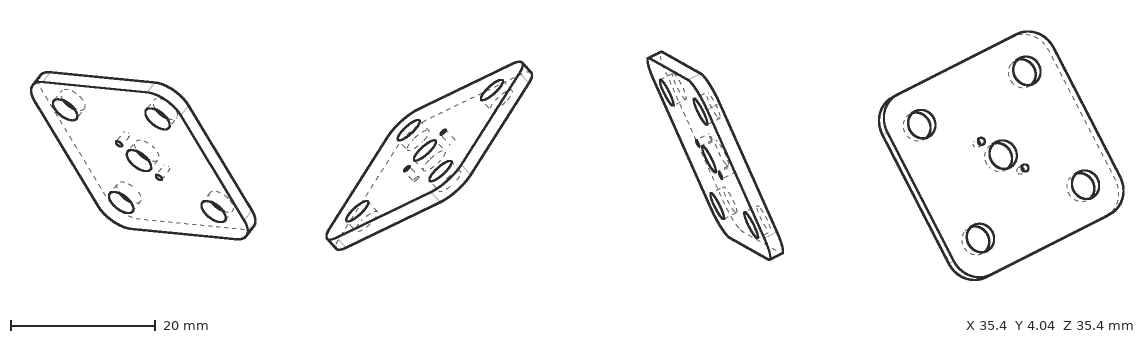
import cadquery as cq
import math

side = 28.0
thickness = 2.0
corner_radius = 4.0

hole_diameter = 4.0
bolt_circle_diameter = 25.0
bolt_spacing = bolt_circle_diameter / math.sqrt(2)

middle_hole_x = -0.08

pin_hole_diameter = 1.0
pin_offset_x = 2.0
pin_offset_y = -3.0

tilt_angle = 4.19
stand_angle = 90.0
roll_angle = 30.0


def rounded_plate():
    """Flat plate centred on the origin, lying in the XY plane."""
    plate = cq.Workplane("XY").box(side, side, thickness)
    return plate.edges("|Z").fillet(corner_radius)


def drill_through(plate, points, diameter):
    """Drill holes square to the flat plate at the given points."""
    top_face = plate.faces(">Z").workplane(origin=(0, 0, 0))
    return top_face.pushPoints(points).hole(diameter)


def orient(plate):
    """Tilt the flat plate, stand it upright and roll it."""
    origin = (0, 0, 0)
    x_axis = (1, 0, 0)
    y_axis = (0, 1, 0)
    tilted = plate.rotate(origin, y_axis, -tilt_angle)
    upright = tilted.rotate(origin, x_axis, stand_angle)
    return upright.rotate(origin, y_axis, -roll_angle)


signs = (-1, 1)
bolt_points = [(sx * bolt_spacing / 2, sy * bolt_spacing / 2) for sx in signs for sy in signs]
middle_point = (middle_hole_x, 0)
pin_points = [(middle_hole_x + sign * pin_offset_x, sign * pin_offset_y) for sign in signs]

flat_plate = rounded_plate()
flat_plate = drill_through(flat_plate, bolt_points + [middle_point], hole_diameter)
flat_plate = drill_through(flat_plate, pin_points, pin_hole_diameter)
result = orient(flat_plate)